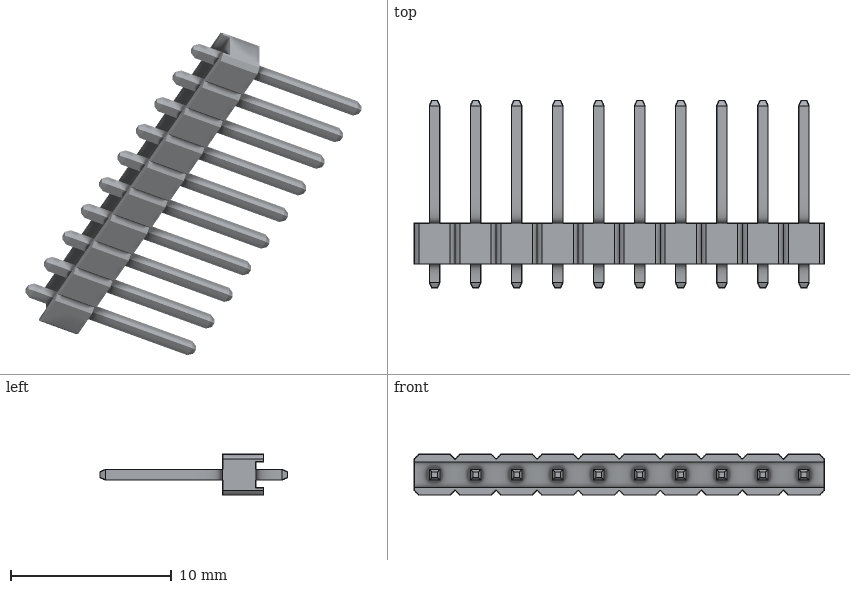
import cadquery as cq

pin_count = 10
pitch = 2.55
overall_length = 11.6

housing_width = pin_count * pitch
housing_depth = 2.55
housing_height = 2.55
notch_size = 0.3

channel_height = 1.6
channel_depth = 0.48

pin_width = 0.65
tip_length = 0.33
tip_width = 0.35
front_length = 1.47

front_face_y = -housing_depth / 2
pin_front_y = front_face_y - front_length
pin_back_y = pin_front_y + overall_length
pin_positions = [(i - (pin_count - 1) / 2) * pitch for i in range(pin_count)]


def make_cell():
    """One housing cell: a block with its four Y-direction edges chamfered."""
    cell = cq.Workplane("XY").box(pitch, housing_depth, housing_height)
    return cell.edges("|Y").chamfer(notch_size)


def make_channel():
    """Cutter for the channel along the front face."""
    channel = cq.Workplane("XY").box(housing_width, channel_depth, channel_height)
    return channel.translate((0, front_face_y + channel_depth / 2, 0))


def make_tip(base_y, end_y):
    """Tapered square tip, wide at base_y and narrow at end_y."""
    return (
        cq.Workplane("XZ", origin=(0, base_y, 0))
        .rect(pin_width, pin_width)
        .workplane(offset=base_y - end_y)
        .rect(tip_width, tip_width)
        .loft(ruled=True)
    )


def make_pin():
    """Square pin with a tapered tip at each end."""
    shank_front_y = pin_front_y + tip_length
    shank_back_y = pin_back_y - tip_length
    shank = cq.Workplane("XY").box(pin_width, shank_back_y - shank_front_y, pin_width)
    shank = shank.translate((0, (shank_front_y + shank_back_y) / 2, 0))
    front_tip = make_tip(shank_front_y, pin_front_y)
    back_tip = make_tip(shank_back_y, pin_back_y)
    return shank.union(front_tip).union(back_tip)


def repeat_along_row(body):
    """Fuse one copy of body at every pin position."""
    row = body.translate((pin_positions[0], 0, 0))
    for x in pin_positions[1:]:
        row = row.union(body.translate((x, 0, 0)))
    return row


housing = repeat_along_row(make_cell()).clean().cut(make_channel())
pins = repeat_along_row(make_pin())
result = housing.union(pins)